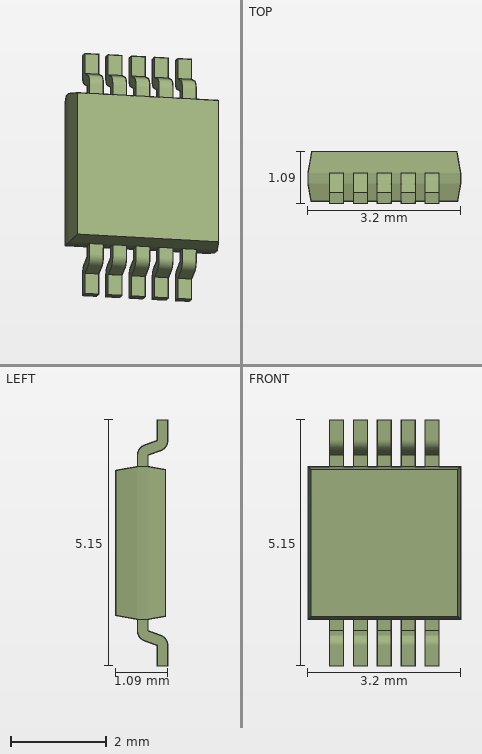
import cadquery as cq
import math

overall_height = 5.15
body_size = 3.2

band_thickness = 0.225
front_thickness = 0.365
back_thickness = 0.455
draft_angle = 10.0

leads_per_side = 5
lead_pitch = 0.5
lead_width = 0.3
lead_thickness = band_thickness
foot_standoff = 0.045
shoulder_length = 0.235
lead_slope = math.radians(20)

band_front = -band_thickness / 2
band_back = band_thickness / 2
foot_front = band_front - front_thickness - foot_standoff
foot_back = foot_front + lead_thickness


def make_body():
    """Straight middle band with a drafted half on its front and back."""
    body = cq.Workplane("XY").box(body_size, band_thickness, body_size)
    front = (
        cq.Workplane("XZ", origin=(0, band_front, 0))
        .rect(body_size, body_size)
        .extrude(front_thickness, taper=draft_angle)
    )
    back = (
        cq.Workplane("XZ", origin=(0, band_back, 0))
        .rect(body_size, body_size)
        .extrude(-back_thickness, taper=draft_angle)
    )
    return body.union(front).union(back)


def point_on_bend(center, angle):
    """Point on the outer arc of a bend; angle is measured from +Y toward +Z."""
    return (
        center[0] + lead_thickness * math.cos(angle),
        center[1] + lead_thickness * math.sin(angle),
    )


def make_upper_lead(x):
    """Gull-wing lead of constant thickness with sharp inner and round outer bends."""
    body_edge = body_size / 2
    lead_tip = overall_height / 2

    first_bend = (band_front, body_edge + shoulder_length)
    slope_run = band_front - foot_back + lead_thickness * math.sin(lead_slope)
    slope_rise = slope_run * math.tan(lead_slope) + lead_thickness * math.cos(lead_slope)
    second_bend = (foot_back, first_bend[1] + slope_rise)

    first_normal = math.pi / 2 - lead_slope
    second_normal = first_normal - math.pi
    second_arc_middle = (second_normal - math.pi) / 2

    return (
        cq.Workplane("YZ", origin=(x - lead_width / 2, 0, 0))
        .moveTo(band_back, 0)
        .lineTo(band_back, first_bend[1])
        .threePointArc(
            point_on_bend(first_bend, first_normal / 2),
            point_on_bend(first_bend, first_normal),
        )
        .lineTo(*second_bend)
        .lineTo(foot_back, lead_tip)
        .lineTo(foot_front, lead_tip)
        .lineTo(foot_front, second_bend[1])
        .threePointArc(
            point_on_bend(second_bend, second_arc_middle),
            point_on_bend(second_bend, second_normal),
        )
        .lineTo(*first_bend)
        .lineTo(band_front, 0)
        .close()
        .extrude(lead_width)
    )


result = make_body()
for index in range(leads_per_side):
    lead_x = (index - (leads_per_side - 1) / 2) * lead_pitch
    upper_lead = make_upper_lead(lead_x)
    result = result.union(upper_lead).union(upper_lead.mirror("XY"))